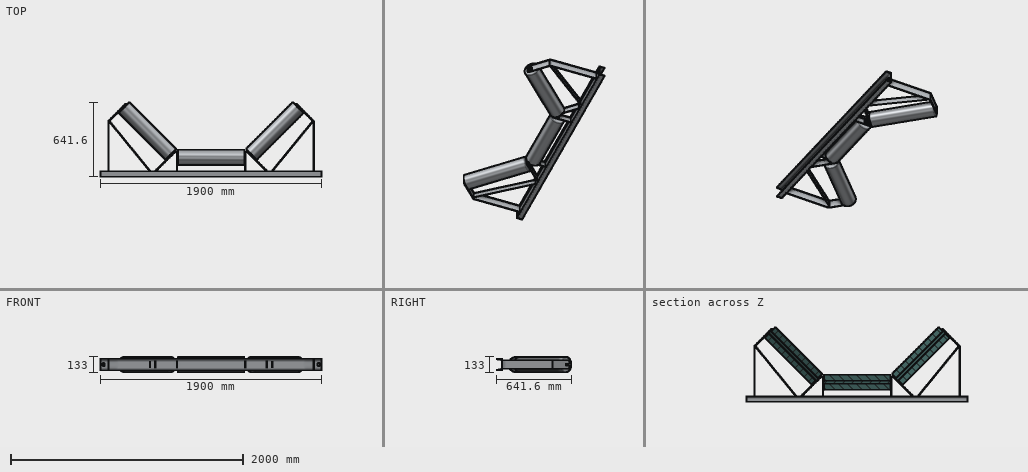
import cadquery as cq
import math

beam_length = 1900.0
beam_height = 100.0
flange_width = 50.0
web_thickness = 6.0
flange_thickness = 8.5
flange_slope = 0.08
root_radius = 8.5
toe_radius = 4.5

mount_inset = 27.0
mount_width = 17.0
mount_height = 27.0

roller_diameter = 133.0
roller_length = 570.0
roller_edge_radius = 4.8
shaft_diameter = 20.0
shaft_flats = 17.0
tilt = 45.0
middle_roller_y = 118.0
tilted_roller_x = 547.0
tilted_roller_y = 345.0

sheet_thickness = 7.0
outer_width = 75.0
inner_width = 57.0
bend_radius = 15.0
tip_radius = 19.0
tip_above_axis = 35.0
end_gap = 4.8
outer_post_x = 882.0
strut_thickness = 5.0
strut_width = 50.0
strut_head_offset = 8.0
strut_foot_x = 525.0

sheet_middle = roller_length / 2 + end_gap + sheet_thickness / 2
shaft_length = roller_length + 2 * (end_gap + sheet_thickness)
inner_post_x = sheet_middle
sine = math.sin(math.radians(tilt))
cosine = math.cos(math.radians(tilt))
below_beam_top = 38.0


def channel_beam():
    """Rolled channel with tapered flanges and obround mounting slots."""
    half_height = beam_height / 2
    mid_flange = flange_width / 2
    toe = flange_thickness - flange_slope * mid_flange
    root = flange_thickness + flange_slope * (mid_flange - web_thickness)
    outline = [
        (0, -half_height),
        (0, half_height),
        (-flange_width, half_height),
        (-flange_width, half_height - toe),
        (-web_thickness, half_height - root),
        (-web_thickness, root - half_height),
        (-flange_width, toe - half_height),
        (-flange_width, -half_height),
    ]
    beam = cq.Workplane("YZ").polyline(outline).close().extrude(beam_length)
    beam = beam.translate((-beam_length / 2, 0, 0))
    for side in (-1, 1):
        for y, depth, radius in ((-web_thickness, root, root_radius), (-flange_width, toe, toe_radius)):
            corner = (0, y, side * (half_height - depth))
            beam = beam.edges(cq.selectors.NearestToPointSelector(corner)).fillet(radius)
    mount_x = beam_length / 2 - mount_inset
    mounts = (
        cq.Workplane("XZ")
        .pushPoints([(-mount_x, 0), (mount_x, 0)])
        .slot2D(mount_height, mount_width, 90)
        .extrude(web_thickness)
    )
    return beam.cut(mounts)


def flat_sheet(start, end, thickness, width):
    """Straight sheet whose mid-thickness line runs from start to end in the XY plane."""
    run = (end[0] - start[0], end[1] - start[1])
    return (
        cq.Workplane("XY")
        .box(math.hypot(*run), thickness, width)
        .rotate((0, 0, 0), (0, 0, 1), math.degrees(math.atan2(run[1], run[0])))
        .translate(((start[0] + end[0]) / 2, (start[1] + end[1]) / 2, 0))
    )


def bent_sheet(start, bend, end, width):
    """Sheet bent once: its mid-thickness line runs from start to bend to end."""
    run_in = cq.Vector(bend[0] - start[0], bend[1] - start[1]).normalized()
    run_out = cq.Vector(end[0] - bend[0], end[1] - bend[1]).normalized()
    half = sheet_thickness / 2
    normal_in = cq.Vector(-run_in.y, run_in.x) * half
    normal_out = cq.Vector(-run_out.y, run_out.x) * half
    turn = run_in.getAngle(run_out)
    miter = (normal_in + normal_out).normalized() * (half / math.cos(turn / 2))
    first, corner, last = cq.Vector(*start), cq.Vector(*bend), cq.Vector(*end)
    left_corner = corner + miter
    right_corner = corner - miter
    outline = [
        first + normal_in,
        left_corner,
        last + normal_out,
        last - normal_out,
        right_corner,
        first - normal_in,
    ]
    sheet = (
        cq.Workplane("XY")
        .polyline([(p.x, p.y) for p in outline])
        .close()
        .extrude(width)
        .translate((0, 0, -width / 2))
    )
    turns_left = run_in.cross(run_out).z > 0
    outside, inside = (right_corner, left_corner) if turns_left else (left_corner, right_corner)
    for edge, radius in ((outside, bend_radius), (inside, bend_radius - sheet_thickness)):
        sheet = sheet.edges(cq.selectors.NearestToPointSelector(edge.toTuple())).fillet(radius)
    return sheet


def tilted_point(along, above):
    """Point of the left tilted roller's plane: along its axis from its middle, and above it."""
    return (
        -tilted_roller_x + along * cosine + above * sine,
        tilted_roller_y - along * sine + above * cosine,
    )


def outer_support():
    """Left end post, bent over to carry the upper end of the tilted roller."""
    tip = tilted_point(-sheet_middle, tip_above_axis)
    bend = (-outer_post_x, tip[1] - (tip[0] + outer_post_x) * cosine / sine)
    support = bent_sheet((-outer_post_x, -below_beam_top), bend, tip, outer_width)
    tip_corners = cq.selectors.ParallelDirSelector(cq.Vector(-cosine, sine, 0))
    support = support.edges(tip_corners).fillet(tip_radius)
    strut_head = (bend[0] + strut_head_offset * sine, bend[1] + strut_head_offset * cosine)
    run_per_drop = (-strut_foot_x - strut_head[0]) / strut_head[1]
    strut_end = (-strut_foot_x + run_per_drop * below_beam_top, -below_beam_top)
    return support.union(flat_sheet(strut_head, strut_end, strut_thickness, strut_width))


def inner_support():
    """Left inner post, folded back down to carry the lower end of the tilted roller."""
    on_axis = tilted_point(sheet_middle, 0)
    bend = (-inner_post_x, on_axis[1] + (-inner_post_x - on_axis[0]) * cosine / sine)
    foot_x = on_axis[0] - (on_axis[1] + below_beam_top) * sine / cosine
    return bent_sheet((-inner_post_x, -below_beam_top), bend, (foot_x, -below_beam_top), inner_width)


def round_bar(diameter, length):
    """Solid cylinder along X, centred at the origin."""
    return cq.Workplane("YZ").circle(diameter / 2).extrude(length).translate((-length / 2, 0, 0))


def shaft_bar():
    """Round bar along X with two flats over its whole length."""
    bar = round_bar(shaft_diameter, shaft_length)
    return bar.intersect(cq.Workplane("XY").box(shaft_length, shaft_diameter, shaft_flats))


def roller_shell():
    """Cylinder along X with rounded rims and a bore that fits the shaft."""
    shell = round_bar(roller_diameter, roller_length)
    return shell.edges("%CIRCLE").fillet(roller_edge_radius).cut(shaft_bar())


def shaft_slots():
    """Cutter for the upward-opening slots that hold both shaft ends."""
    slot_height = 76.0
    slot_reach = 30.0
    slots = shaft_bar()
    for side in (-1, 1):
        slot = cq.Workplane("XY").box(slot_reach, slot_height, shaft_flats)
        x = side * (roller_length + slot_reach) / 2
        slots = slots.union(slot.translate((x, slot_height / 2, 0)))
    return slots


def in_trough(body):
    """Copies of a body made about the origin, at the three roller places."""
    places = [
        (0, middle_roller_y, 0),
        (-tilted_roller_x, tilted_roller_y, -tilt),
        (tilted_roller_x, tilted_roller_y, tilt),
    ]
    return [body.rotate((0, 0, 0), (0, 0, 1), angle).translate((x, y, 0)) for x, y, angle in places]


def frame():
    """Welded frame: beam with both pairs of supports."""
    left = outer_support().union(inner_support())
    supports = left.union(left.mirror("YZ"))
    trim = cq.Workplane("XY").box(beam_length, 2 * below_beam_top, beam_height)
    supports = supports.cut(trim.translate((0, -below_beam_top, 0)))
    for slots in in_trough(shaft_slots()):
        supports = supports.cut(slots)
    return channel_beam().union(supports)


shells = in_trough(roller_shell())
shafts = in_trough(shaft_bar())
result = cq.Compound.makeCompound([frame().val(), *[b.val() for b in shells], *[b.val() for b in shafts]])